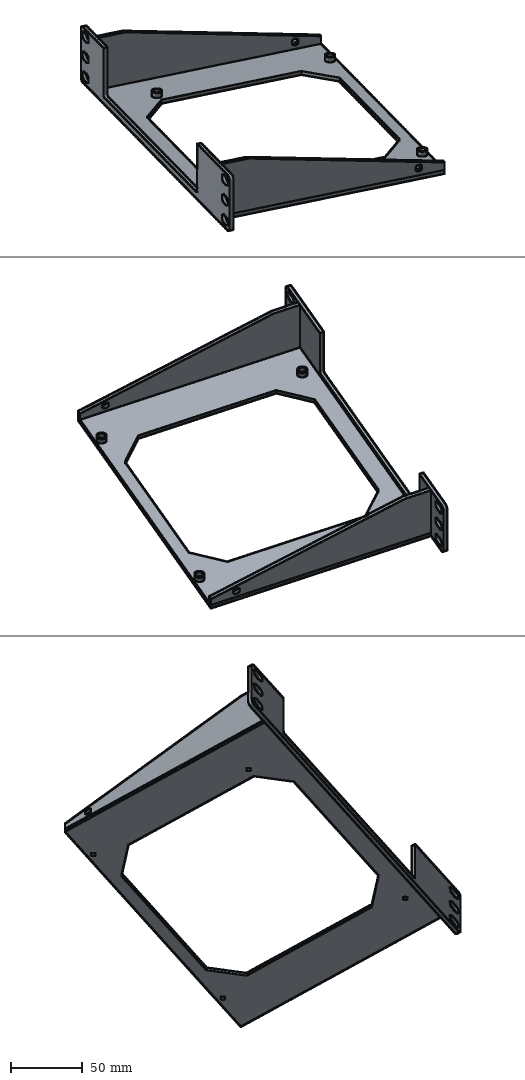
import cadquery as cq


panel_length = 253.0
total_depth = 173.0
total_height = 43.5
sheet_thickness = 3.0

panel_corner_radius = 3.3
notch_left_x = -87.8
notch_right_x = 71.3
notch_floor_z = 5.3
notch_corner_radius = 1.3
slot_length = 10.4
slot_height = 6.3
slot_pitch = 15.7
slot_center_x = 118.7

base_width = 213.0
opening_width = 142.7
opening_front_y = 17.0
opening_rear_y = 163.5
opening_corner_cut = 20.0

standoff_diameter = 7.0
standoff_bore_diameter = 5.0
screw_hole_diameter = 3.0
standoff_height = 3.8
standoff_x = 78.5
rear_standoff_y = total_depth - 4.5
left_front_standoff_y = 36.5
right_front_standoff_y = 13.5
standoff_points = [
    (-standoff_x, rear_standoff_y),
    (standoff_x, rear_standoff_y),
    (-standoff_x, left_front_standoff_y),
    (standoff_x, right_front_standoff_y),
]

wall_rear_top_z = 8.9
wall_slope_start_y = 23.3
wall_hole_diameter = 5.0
wall_hole_y = total_depth - 19.7
wall_hole_z = 8.5


def make_front_panel():
    """Upright panel with a wide notch in its top edge and three slots at each end."""
    panel = (
        cq.Workplane("XY")
        .box(panel_length, sheet_thickness, total_height, centered=(True, False, False))
        .edges("|Y")
        .fillet(panel_corner_radius)
    )
    notch = (
        cq.Workplane("XY")
        .box(notch_right_x - notch_left_x, sheet_thickness, total_height, centered=False)
        .faces("<Z")
        .edges("|Y")
        .fillet(notch_corner_radius)
        .translate((notch_left_x, 0, notch_floor_z))
    )
    slot_points = [
        (side * slot_center_x, total_height / 2 + row * slot_pitch)
        for side in (-1, 1)
        for row in (-1, 0, 1)
    ]
    slots = (
        cq.Workplane("XZ")
        .pushPoints(slot_points)
        .slot2D(slot_length, slot_height)
        .extrude(-sheet_thickness)
    )
    return panel.cut(notch).cut(slots)


def make_base_plate():
    """Flat plate behind the panel, with an eight-sided opening and four bored standoffs."""
    plate = (
        cq.Workplane("XY")
        .box(base_width, total_depth - sheet_thickness, sheet_thickness, centered=(True, False, False))
        .translate((0, sheet_thickness, 0))
    )
    opening = (
        cq.Workplane("XY")
        .box(opening_width, opening_rear_y - opening_front_y, sheet_thickness, centered=(True, False, False))
        .edges("|Z")
        .chamfer(opening_corner_cut)
        .translate((0, opening_front_y, 0))
    )
    standoffs = (
        cq.Workplane("XY", origin=(0, 0, sheet_thickness))
        .pushPoints(standoff_points)
        .circle(standoff_diameter / 2)
        .circle(standoff_bore_diameter / 2)
        .extrude(standoff_height)
    )
    screw_holes = (
        cq.Workplane("XY")
        .pushPoints(standoff_points)
        .circle(screw_hole_diameter / 2)
        .extrude(sheet_thickness)
    )
    return plate.cut(opening).cut(screw_holes).union(standoffs)


def make_side_wall(left_face_x):
    """Wall standing on the base plate, sloping down to the rear, with one cross hole."""
    wall = (
        cq.Workplane("YZ", origin=(left_face_x, 0, 0))
        .moveTo(sheet_thickness, sheet_thickness)
        .lineTo(total_depth, sheet_thickness)
        .lineTo(total_depth, wall_rear_top_z)
        .lineTo(wall_slope_start_y, total_height)
        .lineTo(sheet_thickness, total_height)
        .close()
        .extrude(sheet_thickness)
    )
    hole = (
        cq.Workplane("YZ", origin=(left_face_x, 0, 0))
        .center(wall_hole_y, wall_hole_z)
        .circle(wall_hole_diameter / 2)
        .extrude(sheet_thickness)
    )
    return wall.cut(hole)


front_panel = make_front_panel()
base_plate = make_base_plate()
side_walls = [
    make_side_wall(left_face_x)
    for left_face_x in (-base_width / 2, base_width / 2 - sheet_thickness)
]

result = cq.Compound.makeCompound(
    [front_panel.val(), base_plate.val(), *[wall.val() for wall in side_walls]]
)